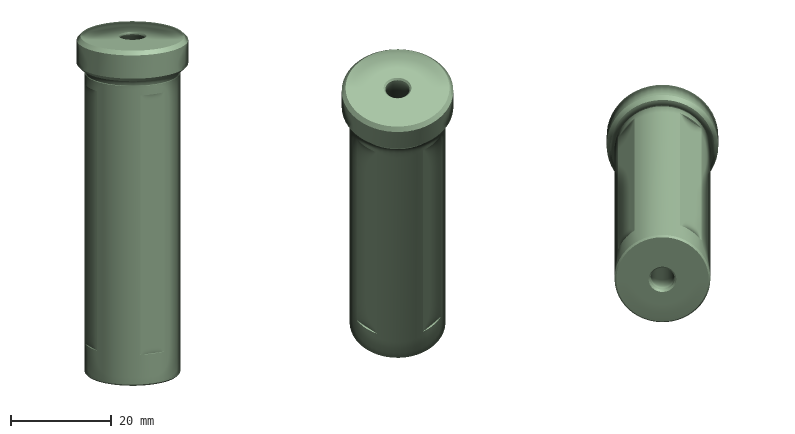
import cadquery as cq

total_length = 69.85
head_diameter = 22.2
head_height = 6.35
head_chamfer = 0.8
body_diameter = 19.1
body_chamfer = 0.35

neck_diameter = 18.4
neck_height = 1.25

bore_diameter = 4.8
bore_chamfer = 0.35

flat_count = 4
flat_across = 18.3
flat_bottom = 6.5
flat_length = 53.8

body_height = total_length - head_height - neck_height


def make_cylinder(diameter, bottom, height):
    return cq.Workplane("XY").workplane(offset=bottom).circle(diameter / 2).extrude(height)


def make_flat_cutter(angle):
    """Block whose inner face lies on one flat of the body."""
    cutter = cq.Workplane("XY").box(
        body_diameter, body_diameter, flat_length, centered=(False, True, False)
    )
    cutter = cutter.translate((flat_across / 2, 0, flat_bottom))
    return cutter.rotate((0, 0, 0), (0, 0, 1), angle)


body = make_cylinder(body_diameter, 0, body_height).faces("<Z").chamfer(body_chamfer)
for index in range(flat_count):
    body = body.cut(make_flat_cutter(index * 360 / flat_count))

neck = make_cylinder(neck_diameter, body_height, neck_height)
head = make_cylinder(head_diameter, total_length - head_height, head_height)
head = head.faces("<Z or >Z").chamfer(head_chamfer)

bore = make_cylinder(bore_diameter, 0, total_length)
result = body.union(neck).union(head).cut(bore)
bore_rims = cq.selectors.RadiusNthSelector(0)
result = result.faces("<Z or >Z").edges(bore_rims).chamfer(bore_chamfer)